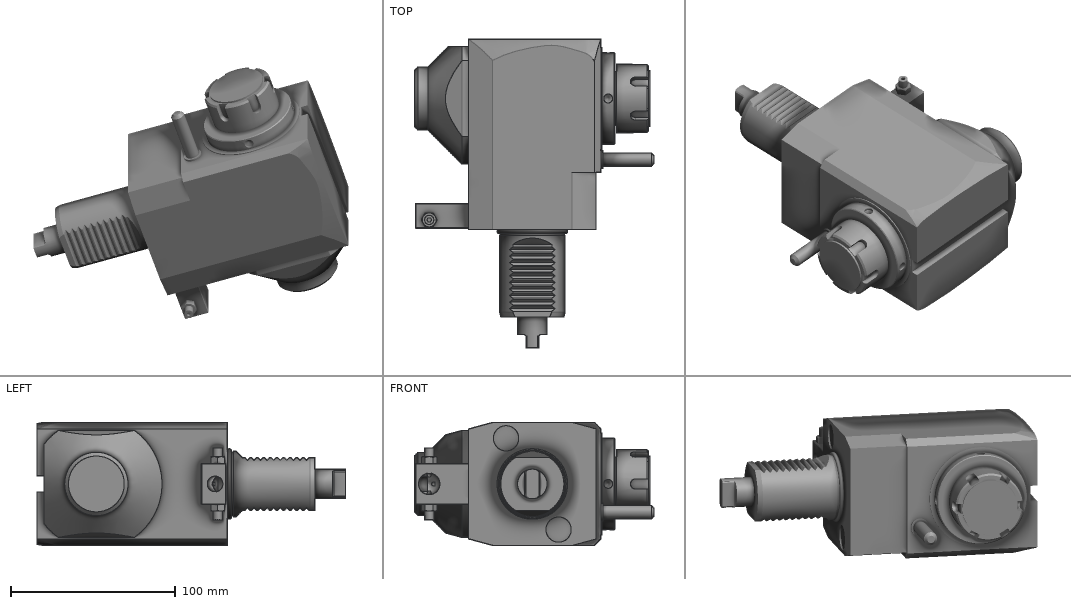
import cadquery as cq
import math

X_AXIS = (1, 0, 0)
Y_AXIS = (0, 1, 0)
Z_AXIS = (0, 0, 1)
DRILL_POINT_ANGLE = 118.0
OVERLAP = 0.5

BLOCK_LENGTH = 116.0
HALF_HEIGHT = 37.5
CORNER_Z = 33.5
SIDE_X = 38.9
SIDE_BEVEL_X = 24.2
FRONT_X = 41.8
FRONT_BEVEL_X = 37.8
STEP_Y = 34.9

CROWN_LENGTH = 20.0
CROWN_SLOPE = 0.17
CROWN_STATIONS = [
    (-SIDE_X, CORNER_Z),
    (-SIDE_BEVEL_X, 35.3),
    (0.5, 36.65),
    (13.7, 36.85),
    (29.6, 36.2),
    (FRONT_BEVEL_X, 35.2),
    (FRONT_X, CORNER_Z),
]
END_SLOT_WIDTH = 9.8
END_SLOT_DEPTH = 4.2

RECESS_RADIUS = 7.7
RECESS_DEPTH = 1.0
RECESS_X = 16.0
RECESS_Z = 27.8

SPINDLE_Y = 79.8

COVER_RADIUS = 40.0
COVER_CYLINDER_X = -42.8
COVER_CONE_X = -63.5
CAP_RADIUS = 19.3
CAP_END_X = -71.9
CAP_CHAMFER = 2.3
COVER_FLAT_Z = 32.6
COVER_FLAT_Y = 111.6
COVER_FLAT_TILT = 15.0

DISC_RADIUS = 31.0
DISC_END_X = 42.4
COLLAR_RADIUS = 28.0
COLLAR_END_X = 50.3
COLLAR_CHAMFER = 0.5
COLLAR_HOLE_RADIUS = 2.7
COLLAR_HOLE_DEPTH = 1.5
COLLAR_HOLE_X = 46.2
COLLAR_HOLE_COUNT = 4
NUT_NECK_RADIUS = 16.5
NUT_RADIUS = 21.0
NUT_START_X = 51.3
NUT_END_X = 70.7
NUT_CHAMFER = 1.0
NUT_FACE_RADIUS = 17.0
NUT_FACE_X = 71.8
NUT_SLOT_COUNT = 6
NUT_SLOT_WIDTH = 6.2
NUT_SLOT_DEPTH = 3.4
NUT_SLOT_START_X = 59.8

PIN_RADIUS = 4.1
PIN_Y = 42.6
PIN_Z = -17.2
PIN_END_X = 74.24
PIN_CHAMFER = 1.8
PIN_BASE_RADIUS = 5.5
PIN_BASE_X = 43.0

SEAT_RADIUS = 21.5
SEAT_EDGE_RADIUS = 20.7
SEAT_LENGTH = 2.4
SHANK_RADIUS = 20.0
SHANK_END_Y = -53.3
NECK_GROOVE_RADIUS = 19.6
NECK_GROOVE_END_Y = -3.7
SHANK_TAPER_LENGTH = 3.0
SHANK_TAPER = 0.8
TOOTH_TIP_Z = 16.1
TOOTH_ROOT_Z = 14.5
TOOTH_PITCH = 4.0
TOOTH_COUNT = 10
FIRST_ROOT_Y = -12.2
FLAT_TOP_Y = -5.2

TANG_RADIUS = 9.0
TANG_SHOULDER_Y = -64.0
TANG_END_Y = -72.0
TANG_THICKNESS = 8.0
TANG_ROOT_CHAMFER = 0.8
TANG_EDGE_CHAMFER = 0.7

ARM_END_X = -71.2
ARM_Y_MIN = 0.8
ARM_Y_MAX = 16.0
ARM_HALF_HEIGHT = 12.5
ARM_CHAMFER = 0.4
PORT_X = -62.8
PORT_RADIUS = 6.5
PORT_DEPTH = 5.0
END_PORT_RADIUS = 4.75
END_PORT_Y = 7.5
END_PORT_DEPTH = 7.5
PILOT_RADIUS = 1.3
PILOT_DEPTH = 12.0
SCREW_Y = 5.9
SCREW_RADIUS = 2.8
SCREW_TIP_Z = 21.9
SCREW_NUT_Z = 16.6
SCREW_NUT_FLATS = 8.4
SCREW_NUT_CHAMFER = 0.6
SOCKET_FLATS = 2.5
SOCKET_DEPTH = 2.0
PORT_SIDE_BORE_RADIUS = 1.3


def cylinder(radius, length, start, direction):
    return cq.Workplane(obj=cq.Solid.makeCylinder(radius, length, cq.Vector(start), cq.Vector(direction)))


def drilled_hole(radius, depth, start, direction):
    """Cylinder of the given depth followed by a conical drill point."""
    point_depth = radius / math.tan(math.radians(DRILL_POINT_ANGLE / 2))
    axis = cq.Vector(direction)
    point = cq.Solid.makeCone(radius, 0, point_depth, cq.Vector(start) + axis * depth, axis)
    return cylinder(radius, depth, start, direction).union(cq.Workplane(obj=point))


def box(x_range, y_range, z_range):
    size = [high - low for low, high in (x_range, y_range, z_range)]
    corner = cq.Vector(x_range[0], y_range[0], z_range[0])
    return cq.Workplane(obj=cq.Solid.makeBox(*size, corner))


def spindle_turned(points):
    """Turn a closed (x, radius) outline about the spindle axis."""
    profile = cq.Workplane("XY").polyline(points).close()
    return profile.revolve(360, (0, 0, 0), X_AXIS).translate((0, SPINDLE_Y, 0))


def extrude_along_y(points, y_start, y_end):
    """Extrude a closed (x, z) outline between two Y positions."""
    return cq.Workplane("XZ", origin=(0, y_start, 0)).polyline(points).close().extrude(y_start - y_end)


def block_outline(right_x, right_bevel_x):
    upper = [
        (-SIDE_X, CORNER_Z),
        (-SIDE_BEVEL_X, HALF_HEIGHT),
        (right_bevel_x, HALF_HEIGHT),
        (right_x, CORNER_Z),
    ]
    return upper + [(x, -z) for x, z in reversed(upper)]


def crown_wire(y):
    rise = CROWN_SLOPE * (BLOCK_LENGTH - y)
    upper = [cq.Vector(x, y, z + rise) for x, z in CROWN_STATIONS]
    lower = [cq.Vector(point.x, y, -point.z) for point in upper]
    edges = [
        cq.Edge.makeSpline(upper),
        cq.Edge.makeLine(upper[-1], lower[-1]),
        cq.Edge.makeSpline(lower[::-1]),
        cq.Edge.makeLine(lower[0], upper[0]),
    ]
    return cq.Wire.assembleEdges(edges)


def make_block():
    crown_start = BLOCK_LENGTH - CROWN_LENGTH
    lower = extrude_along_y(block_outline(SIDE_X, SIDE_BEVEL_X), 0, STEP_Y)
    upper_outline = block_outline(FRONT_X, FRONT_BEVEL_X)
    upper = extrude_along_y(upper_outline, STEP_Y, crown_start)
    end = extrude_along_y(upper_outline, crown_start, BLOCK_LENGTH)
    crown = cq.Solid.makeLoft([crown_wire(crown_start), crown_wire(BLOCK_LENGTH)], True)
    block = lower.union(upper).union(end.intersect(cq.Workplane(obj=crown)))

    half_slot = END_SLOT_WIDTH / 2
    slot = box((-SIDE_X, FRONT_X), (BLOCK_LENGTH - END_SLOT_DEPTH, BLOCK_LENGTH), (-half_slot, half_slot))
    block = block.cut(slot)
    for side in (-1, 1):
        block = block.cut(cylinder(RECESS_RADIUS, RECESS_DEPTH, (side * RECESS_X, 0, -side * RECESS_Z), Y_AXIS))
    return block


def make_cover():
    cover = spindle_turned([
        (-SIDE_X + OVERLAP, 0),
        (-SIDE_X + OVERLAP, COVER_RADIUS),
        (COVER_CYLINDER_X, COVER_RADIUS),
        (COVER_CONE_X, CAP_RADIUS),
        (CAP_END_X + CAP_CHAMFER, CAP_RADIUS),
        (CAP_END_X, CAP_RADIUS - CAP_CHAMFER),
        (CAP_END_X, 0),
    ])
    tilt_drop = (COVER_CYLINDER_X - CAP_END_X) * math.tan(math.radians(COVER_FLAT_TILT))
    upper = [
        (CAP_END_X, COVER_FLAT_Z - tilt_drop),
        (COVER_CYLINDER_X, COVER_FLAT_Z),
        (-SIDE_X + OVERLAP, COVER_FLAT_Z),
    ]
    envelope = upper + [(x, -z) for x, z in reversed(upper)]
    return cover.intersect(extrude_along_y(envelope, SPINDLE_Y - COVER_RADIUS, COVER_FLAT_Y))


def make_collar():
    collar = spindle_turned([
        (FRONT_X - OVERLAP, 0),
        (FRONT_X - OVERLAP, DISC_RADIUS),
        (DISC_END_X, DISC_RADIUS),
        (DISC_END_X, COLLAR_RADIUS),
        (COLLAR_END_X - COLLAR_CHAMFER, COLLAR_RADIUS),
        (COLLAR_END_X, COLLAR_RADIUS - COLLAR_CHAMFER),
        (COLLAR_END_X, NUT_NECK_RADIUS),
        (NUT_START_X + OVERLAP, NUT_NECK_RADIUS),
        (NUT_START_X + OVERLAP, 0),
    ])
    for i in range(COLLAR_HOLE_COUNT):
        angle = 2 * math.pi * i / COLLAR_HOLE_COUNT
        y, z = math.cos(angle), math.sin(angle)
        start = (COLLAR_HOLE_X, SPINDLE_Y + COLLAR_RADIUS * y, COLLAR_RADIUS * z)
        collar = collar.cut(drilled_hole(COLLAR_HOLE_RADIUS, COLLAR_HOLE_DEPTH, start, (0, -y, -z)))
    return collar


def make_nut():
    nut = spindle_turned([
        (NUT_START_X, 0),
        (NUT_START_X, NUT_RADIUS),
        (NUT_END_X - NUT_CHAMFER, NUT_RADIUS),
        (NUT_END_X, NUT_RADIUS - NUT_CHAMFER),
        (NUT_END_X, NUT_FACE_RADIUS),
        (NUT_FACE_X, NUT_FACE_RADIUS),
        (NUT_FACE_X, 0),
    ])
    half_width = NUT_SLOT_WIDTH / 2
    floor_y = SPINDLE_Y + NUT_RADIUS - NUT_SLOT_DEPTH
    centre_x = NUT_SLOT_START_X + half_width
    slot = box((centre_x, NUT_FACE_X), (floor_y, floor_y + 2 * NUT_SLOT_DEPTH), (-half_width, half_width))
    slot = slot.union(cylinder(half_width, 2 * NUT_SLOT_DEPTH, (centre_x, floor_y, 0), Y_AXIS))
    for i in range(NUT_SLOT_COUNT):
        nut = nut.cut(slot.rotate((0, SPINDLE_Y, 0), (1, SPINDLE_Y, 0), i * 360 / NUT_SLOT_COUNT))
    return nut


def make_pin():
    start_x = FRONT_X - OVERLAP
    base = cylinder(PIN_BASE_RADIUS, PIN_BASE_X - start_x, (start_x, PIN_Y, PIN_Z), X_AXIS)
    pin = cylinder(PIN_RADIUS, PIN_END_X - start_x, (start_x, PIN_Y, PIN_Z), X_AXIS)
    return base.union(pin.faces(">X").chamfer(PIN_CHAMFER))


def tooth_cutter():
    """Profile in (y, z) above the toothed flat: run-in slope, then one V groove per tooth root."""
    clear_z = SHANK_RADIUS + OVERLAP
    groove_half_width = TOOTH_TIP_Z - TOOTH_ROOT_Z
    points = [
        (FLAT_TOP_Y + clear_z - SHANK_RADIUS, clear_z),
        (FLAT_TOP_Y - (SHANK_RADIUS - TOOTH_TIP_Z), TOOTH_TIP_Z),
    ]
    for i in range(TOOTH_COUNT):
        root_y = FIRST_ROOT_Y - i * TOOTH_PITCH
        points += [
            (root_y + groove_half_width, TOOTH_TIP_Z),
            (root_y, TOOTH_ROOT_Z),
            (root_y - groove_half_width, TOOTH_TIP_Z),
        ]
    points += [(SHANK_END_Y, TOOTH_TIP_Z), (SHANK_END_Y, clear_z)]
    return cq.Workplane("YZ").polyline(points).close().extrude(SHANK_RADIUS, both=True)


def make_shank():
    profile = (
        cq.Workplane("XY")
        .moveTo(0, OVERLAP)
        .lineTo(SEAT_EDGE_RADIUS, OVERLAP)
        .lineTo(SEAT_EDGE_RADIUS, 0)
        .threePointArc((SEAT_RADIUS, -SEAT_LENGTH / 2), (SEAT_EDGE_RADIUS, -SEAT_LENGTH))
        .lineTo(NECK_GROOVE_RADIUS, -SEAT_LENGTH)
        .lineTo(NECK_GROOVE_RADIUS, NECK_GROOVE_END_Y)
        .lineTo(SHANK_RADIUS, NECK_GROOVE_END_Y)
        .lineTo(SHANK_RADIUS, SHANK_END_Y + SHANK_TAPER_LENGTH)
        .lineTo(SHANK_RADIUS - SHANK_TAPER, SHANK_END_Y)
        .lineTo(0, SHANK_END_Y)
        .close()
    )
    shank = profile.revolve(360, (0, 0, 0), Y_AXIS)
    cutter = tooth_cutter()
    return shank.cut(cutter).cut(cutter.mirror("XY"))


def make_tang():
    tang = cylinder(TANG_RADIUS, SHANK_END_Y + OVERLAP - TANG_END_Y, (0, TANG_END_Y, 0), Y_AXIS)
    half = TANG_THICKNESS / 2
    side_cut = [
        (half, TANG_END_Y),
        (half, TANG_SHOULDER_Y - TANG_ROOT_CHAMFER),
        (half + TANG_ROOT_CHAMFER, TANG_SHOULDER_Y),
        (TANG_RADIUS, TANG_SHOULDER_Y),
        (TANG_RADIUS, TANG_END_Y),
    ]
    cutter = cq.Workplane("XY").polyline(side_cut).close().extrude(TANG_RADIUS, both=True)
    tang = tang.cut(cutter).cut(cutter.mirror("YZ"))

    corner_z = math.sqrt(TANG_RADIUS**2 - half**2)
    size = TANG_EDGE_CHAMFER * math.sqrt(2)
    length = TANG_SHOULDER_Y - TANG_ROOT_CHAMFER - TANG_END_Y
    for x in (-half, half):
        for z in (-corner_z, corner_z):
            wedge = cq.Workplane("XZ", origin=(x, TANG_END_Y, z)).transformed(rotate=(0, 0, 45))
            wedge = wedge.rect(size, size).extrude(-length)
            tang = tang.cut(wedge)
    return tang


def make_arm():
    z_range = (-ARM_HALF_HEIGHT, ARM_HALF_HEIGHT)
    arm = box((ARM_END_X, -SIDE_X + OVERLAP), (ARM_Y_MIN, ARM_Y_MAX), z_range)
    arm = arm.edges("|X or <X").chamfer(ARM_CHAMFER)

    arm = arm.cut(drilled_hole(PORT_RADIUS, PORT_DEPTH, (PORT_X, ARM_Y_MIN, 0), Y_AXIS))
    end_centre = (ARM_END_X, END_PORT_Y, 0)
    arm = arm.cut(cylinder(END_PORT_RADIUS, END_PORT_DEPTH, end_centre, X_AXIS))
    arm = arm.cut(cylinder(PILOT_RADIUS, PILOT_DEPTH, end_centre, X_AXIS))
    side_bore_length = 2 * (ARM_HALF_HEIGHT - 2 * OVERLAP)
    side_bore_start = (PORT_X, SCREW_Y, -side_bore_length / 2)
    return arm.cut(cylinder(PORT_SIDE_BORE_RADIUS, side_bore_length, side_bore_start, Z_AXIS))


def make_screw():
    """Set screw with lock nut standing on the top of the coolant arm."""
    base_z = ARM_HALF_HEIGHT - OVERLAP
    across_corners = 2 / math.sqrt(3)
    base = cq.Workplane("XY", origin=(PORT_X, SCREW_Y, base_z))
    nut = base.polygon(6, SCREW_NUT_FLATS * across_corners).extrude(SCREW_NUT_Z - base_z)
    corner_radius = SCREW_NUT_FLATS * across_corners / 2
    nut_limit = base.circle(corner_radius).extrude(SCREW_NUT_Z - base_z)
    nut = nut.intersect(nut_limit.faces(">Z").chamfer(SCREW_NUT_CHAMFER))
    screw = nut.union(base.circle(SCREW_RADIUS).extrude(SCREW_TIP_Z - base_z))
    tip = cq.Workplane("XY", origin=(PORT_X, SCREW_Y, SCREW_TIP_Z))
    return screw.cut(tip.polygon(6, SOCKET_FLATS * across_corners).extrude(-SOCKET_DEPTH))


screw = make_screw()
result = make_block()
for piece in (
    make_cover(),
    make_collar(),
    make_nut(),
    make_pin(),
    make_shank(),
    make_tang(),
    make_arm(),
    screw,
    screw.mirror("XY"),
):
    result = result.union(piece)